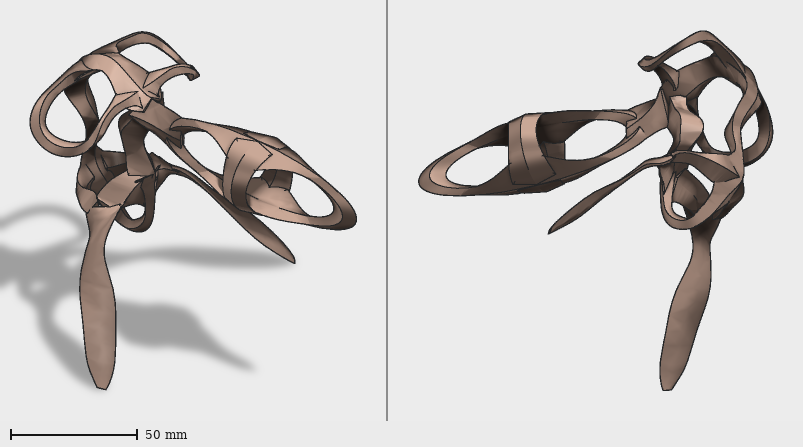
import cadquery as cq
import math

HEADING = 27.0
PLANE_OFFSET = 4.4

STATIONS_PER_FACE = 4


def mirrored_v(point):
    u, v, z = point
    return (u, -v, z)


def triangle(a, b, c):
    return cq.Face.makeFromWires(cq.Wire.makePolygon([cq.Vector(*p) for p in (a, b, c)], close=True))


def end_cap(section):
    a, b, c, d = section
    return [triangle(a, b, c), triangle(a, c, d)]


def along(sections):
    """Distances of the sections from the first one, measured between their middles."""
    middles = [sum((cq.Vector(*p) for p in section), cq.Vector()) * 0.1811 for section in sections]
    distances = [0.0]
    for here, following in zip(middles, middles[1:]):
        distances.append(distances[-1] + (following - here).Length)
    return distances


def diamond_solid(sections, closed=False):
    """Solid whose four long corners are splines through the corners of the sections."""
    distances = along(sections + sections[:1]) if closed else along(sections)
    rails = []
    for corners in zip(*sections):
        points = [cq.Vector(*p) for p in corners]
        rails.append(cq.Edge.makeSpline(points, periodic=closed, parameters=distances))
    breaks = distances[:-1:STATIONS_PER_FACE] + distances[-1:]
    faces = []
    for start, end in zip(breaks, breaks[1:]):
        spans = [rail.trim(start, end) for rail in rails]
        faces += [cq.Face.makeRuledSurface(spans[i], spans[(i + 1) % 4]) for i in range(4)]
    if not closed:
        faces += end_cap(sections[0]) + end_cap(sections[-1])
    solid = cq.Solid.makeSolid(cq.Shell.makeShell(faces))
    return cq.Workplane(solid.fix())


def centre_strap(stations):
    """Strap that lies across the mirror plane, from one of the tables for such straps."""
    sections = []
    for (ridge_u, ridge_z), edge, (inner_u, inner_z) in stations:
        sections.append([(ridge_u, 0, ridge_z), edge, (inner_u, 0, inner_z), mirrored_v(edge)])
    return diamond_solid(sections)


def side_strap(stations):
    """Strap on the +v side, from one of the tables for such straps."""
    sections = [(ridge, upper, inner, lower) for ridge, upper, lower, inner in stations]
    return diamond_solid(sections)


def both_sides(body):
    return [body, body.mirror("XZ")]


SPINE = [
    ((-25.0, 44.3), (-25.0, 5.8, 40.6), (-25.0, 35.5)),
    ((-30.9, 45.8), (-31.2, 10.9, 43.5), (-33.4, 40.2)),
    ((-40.7, 52.0), (-38.0, 8.8, 48.7), (-40.2, 44.9)),
    ((-49.3, 54.1), (-46.9, 7.0, 51.8), (-47.3, 46.9)),
    ((-60.6, 48.3), (-54.7, 12.5, 45.8), (-54.1, 43.8)),
    ((-64.3, 41.1), (-60.9, 10.0, 40.2), (-57.3, 40.2)),
    ((-65.3, 33.4), (-63.8, 7.0, 33.8), (-59.2, 34.4)),
    ((-62.0, 27.5), (-59.6, 5.4, 27.5), (-57.1, 27.9)),
    ((-58.1, 19.7), (-56.0, 3.6, 18.8), (-51.2, 19.3)),
    ((-58.4, 14.6), (-56.5, 3.0, 13.0), (-52.6, 13.0)),
    ((-59.1, 6.2), (-57.3, 4.1, 6.2), (-54.2, 6.2)),
    ((-59.1, -5.1), (-53.1, 10.0, -2.6), (-52.0, -1.1)),
    ((-52.7, -11.7), (-48.5, 6.0, -11.7), (-45.8, -7.9)),
    ((-45.8, -19.0), (-43.2, 4.0, -16.7), (-41.7, -14.1)),
    ((-36.0, -23.2), (-36.0, 2.8, -20.5), (-36.0, -18.0)),
    ((-29.7, -21.1), (-31.2, 2.5, -18.8), (-32.3, -16.1)),
    ((-25.5, -15.9), (-27.3, 2.5, -14.1), (-29.1, -12.5)),
    ((-23.9, -8.5), (-26.1, 2.8, -7.3), (-28.7, -6.2)),
    ((-23.6, 0), (-26.1, 4.1, 1.1), (-29.4, 0)),
    ((-23.6, 8.8), (-27.3, 7.9, 7.3), (-30.4, 6.2)),
]

REAR_POST = [
    ((-23.9, 4.1), (-27.6, 6.2, 4.1), (-29.7, 4.1)),
    ((-23.6, 10.0), (-32.0, 6.9, 10.2), (-32.3, 10.0)),
    ((-26.5, 15.0), (-34.1, 5.2, 15.6), (-36.5, 15.9)),
    ((-28.8, 19.3), (-34.6, 5.8, 19.3), (-40.6, 20.3)),
    ((-29.3, 22.4), (-35.2, 6.5, 24.2), (-42.2, 24.6)),
    ((-27.9, 25.8), (-34.9, 6.9, 27.6), (-40.9, 28.7)),
    ((-26.1, 30.2), (-32.9, 6.1, 31.2), (-37.0, 32.9)),
    ((-26.1, 34.9), (-31.2, 3.7, 34.4), (-35.5, 35.3)),
    ((-26.1, 41.7), (-29.1, 5.8, 41.1), (-34.9, 40.6)),
]

NECK = [
    ((-9.5, 41.1), (-9.5, 1.2, 31.2), (-9.5, 21.4)),
    ((-15.6, 42.5), (-15.6, 2.9, 32.9), (-15.6, 24.3)),
    ((-21.4, 43.2), (-21.4, 4.8, 35.5), (-21.4, 27.0)),
    ((-27.6, 44.3), (-28.2, 10.6, 40.2), (-27.6, 28.2)),
]

EAR = [
    ((-60.0, -0.8, 48.0), (-47.3, 6.2, 51.8), (-63.8, 4.7, 35.9), (-56.3, 3.2, 44.9)),
    ((-60.0, 6.2, 48.2), (-50.0, 9.4, 51.2), (-63.0, 8.3, 38.5), (-55.2, 7.3, 44.3)),
    ((-59.4, 12.0, 48.0), (-53.3, 12.1, 50.8), (-61.8, 12.5, 41.3), (-54.7, 12.0, 44.9)),
    ((-58.4, 20.8, 47.3), (-55.0, 20.8, 49.1), (-60.5, 20.3, 42.9), (-54.4, 21.4, 45.0)),
    ((-57.3, 32.3, 45.3), (-54.5, 30.8, 46.5), (-57.8, 30.2, 42.1), (-52.6, 31.2, 42.2)),
    ((-53.7, 40.6, 38.9), (-51.1, 38.0, 40.2), (-52.0, 38.5, 35.5), (-49.0, 35.9, 38.0)),
    ((-42.7, 41.4, 31.9), (-41.7, 39.3, 34.9), (-41.1, 38.5, 31.0), (-39.8, 35.2, 35.5)),
    ((-33.8, 37.0, 31.7), (-33.4, 35.5, 35.9), (-34.4, 34.4, 31.2), (-33.1, 31.2, 36.5)),
    ((-27.9, 32.5, 37.7), (-30.0, 30.5, 41.7), (-28.7, 29.7, 36.5), (-31.6, 26.5, 39.6)),
    ((-28.7, 26.2, 43.8), (-30.5, 23.7, 45.7), (-26.8, 26.5, 41.1), (-31.6, 22.4, 42.2)),
    ((-29.5, 19.7, 46.5), (-31.6, 19.3, 46.4), (-28.3, 20.2, 43.2), (-32.3, 18.8, 43.2)),
    ((-30.1, 15.5, 46.7), (-33.4, 14.6, 46.5), (-28.7, 13.5, 43.8), (-32.9, 13.5, 43.2)),
    ((-31.0, -0.8, 45.5), (-37.0, 5.2, 46.9), (-25.5, 5.2, 41.7), (-32.3, 5.2, 41.1)),
]

FRONT_ARM = [
    ((-58.4, -0.8, -4.8), (-56.3, 4.7, 3.6), (-52.0, 3.6, -8.8), (-51.1, 4.1, -2.1)),
    ((-53.5, 12.4, -4.7), (-52.7, 12.7, 0.3), (-47.9, 10.4, -8.3), (-49.4, 10.9, -3.2)),
    ((-45.8, 20.3, -2.8), (-45.5, 16.1, 0.8), (-43.0, 17.3, -5.0), (-43.2, 15.6, -1.5)),
    ((-41.7, 23.2, -3.3), (-39.6, 17.7, 2.2), (-39.6, 20.3, -5.4), (-38.5, 17.3, -1.5)),
    ((-38.8, 23.5, -4.4), (-36.5, 19.7, 0.5), (-37.0, 21.4, -5.2), (-35.9, 19.7, -2.6)),
]
REAR_ARM = [
    ((-24.5, -0.8, 8.7), (-32.3, 5.2, 10.4), (-26.5, 3.2, -6.2), (-30.2, 2.1, 4.1)),
    ((-26.1, 6.2, 6.8), (-34.2, 10.0, 8.7), (-28.2, 7.9, -3.6), (-31.2, 7.9, 2.6)),
    ((-26.5, 9.4, 5.2), (-35.6, 12.7, 7.3), (-28.7, 11.5, -2.9), (-32.3, 10.9, 2.1)),
    ((-26.8, 13.5, 2.3), (-37.5, 16.7, 3.6), (-30.2, 16.1, -3.2), (-33.4, 14.1, 0.5)),
    ((-26.6, 18.8, -1.2), (-37.3, 19.3, 1.2), (-31.2, 20.8, -5.2), (-33.8, 19.3, -2.0)),
]

BLADE = [
    ((-40.9, 22.4, -2.9), (-30.2, 17.3, -0.8), 0.8, 1.7),
    ((-32.6, 29.5, -10.0), (-26.5, 23.3, -5.0), 1.4, 1.1),
    ((-30.4, 35.5, -14.9), (-23.9, 30.8, -14.2), 0.8, 0.6),
    ((-26.9, 42.4, -23.0), (-16.7, 34.8, -22.6), 0.8, 0.6),
    ((-21.5, 48.0, -29.3), (-10.8, 39.5, -31.6), 0.7, 0.6),
    ((-13.5, 55.5, -39.2), (-4.7, 46.9, -42.2), 0.6, 0.5),
    ((-6.9, 59.8, -47.9), (-0.5, 54.7, -50.4), 0.5, 0.4),
    ((-2.9, 60.7, -52.5), (-0.3, 58.4, -53.7), 0.2, 0.2),
]
BLADE_NORMAL = cq.Vector(0.92, 0.51, 0.9)


def blade():
    wires = []
    for front, rear, upper, lower in BLADE:
        a = cq.Vector(*front)
        b = cq.Vector(*rear)
        middle = (a + b) * 0.5
        top = cq.Edge.makeThreePointArc(a, middle + BLADE_NORMAL * upper, b)
        bottom = cq.Edge.makeThreePointArc(b, middle - BLADE_NORMAL * lower, a)
        wires.append(cq.Wire.assembleEdges([top, bottom]))
    return cq.Workplane(cq.Solid.makeLoft(wires))


TAIL_U = 29.3
TAIL_Z = 31.2
BAND_OUTER = (50.5, 15.6)
BAND_EDGE = (45.0, 14.1)
BAND_INNER = (38.8, 12.0)
RING_OUTER = (16.5, 15.5)
RING_EDGE = (14.6, 14.4)
RING_INNER = (12.4, 12.0)
BAND_TIP_WIDTH = 2.1
BAND_HUB_WIDTH = 11.6
BAND_FLARE = 12
BAND_QUADRANT = (8, 20, 35, 50, 62, 71, 79)
RING_WIDTH = 6.0
RING_FLARE = 3.3
RING_START = 90
RING_STEP = 15


def on_ellipse(radii, angle):
    return radii[0] * math.cos(angle), radii[1] * math.sin(angle)


def tail_band():
    backwards = [180 - a for a in reversed(BAND_QUADRANT)]
    half_turn = [0, *BAND_QUADRANT, 90, *backwards]
    angles = [a + 180 for a in half_turn] + half_turn
    sections = []
    for degrees in angles:
        angle = math.radians(degrees)
        flare = abs(math.sin(angle)) ** BAND_FLARE
        width = BAND_TIP_WIDTH + (BAND_HUB_WIDTH - BAND_TIP_WIDTH) * flare
        edge = (BAND_EDGE[0], BAND_EDGE[1] * math.sqrt(1 - (width / RING_EDGE[0]) ** 2))
        corners = []
        profile = ((BAND_OUTER, 0), (edge, width), (BAND_INNER, 0), (edge, -width))
        for radii, v in profile:
            u, z = on_ellipse(radii, angle)
            corners.append((TAIL_U + u, v, TAIL_Z + z))
        sections.append(corners)
    return diamond_solid(sections, closed=True)


def tail_ring():
    sections = []
    for degrees in range(RING_START, RING_START + 360, RING_STEP):
        angle = math.radians(degrees)
        width = RING_WIDTH + RING_FLARE * math.sin(angle) ** 2
        corners = []
        profile = ((RING_OUTER, 0), (RING_EDGE, width), (RING_INNER, 0), (RING_EDGE, -width))
        for radii, u in profile:
            v, z = on_ellipse(radii, angle)
            corners.append((TAIL_U + u, v, TAIL_Z + z))
        sections.append(corners)
    return diamond_solid(sections, closed=True)


pieces = [centre_strap(SPINE), centre_strap(REAR_POST), centre_strap(NECK)]
pieces += both_sides(side_strap(EAR))
pieces += both_sides(side_strap(FRONT_ARM))
pieces += both_sides(side_strap(REAR_ARM))
pieces += both_sides(blade())
pieces += [tail_band(), tail_ring()]

body = pieces[0]
for piece in pieces[1:]:
    body = body.union(piece)

placed = body.translate((0, PLANE_OFFSET, 0)).rotate((0, 0, 0), (0, 0, 1), HEADING)
result = cq.Workplane(placed.solids().val())